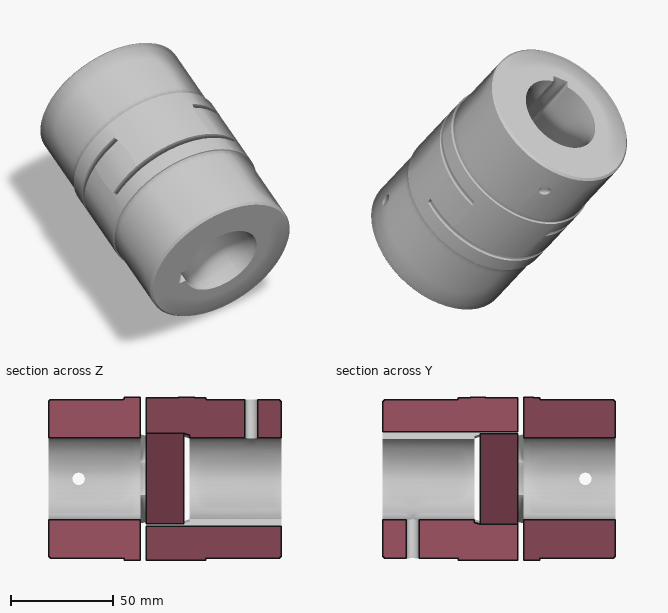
import cadquery as cq

LENGTH = 114.0
COLLAR_D = 80.0
HUB_D = 78.0
COLLAR_HALF = 20.1
HUB_FACE = 12.0
SPIDER_THICK = 18.5
END_CHAMFER = 1.0
BORE_D = 40.0
KEY_WIDTH = 8.0
KEY_TOP = 23.0
SCREW_D = 6.0
SCREW_FROM_END = 14.7
COLLAR_ROOT_FILLET = 0.5
CORE_D = 44.2
JAW_ROOT_D = 42.6
ARM_WIDTH_MID = 20.3
ARM_WIDTH_FACE = 16.6
ARM_COUNT = 4


def x_cylinder(diameter, start, end):
    return cq.Workplane("YZ", origin=(start, 0, 0)).circle(diameter / 2).extrude(end - start)


def jaw_clearance():
    """Space inside the jaws: a cylinder around the spider core, then a cone down to the hub face."""
    half = SPIDER_THICK / 2
    cone = (
        cq.Workplane("YZ", origin=(-HUB_FACE, 0, 0))
        .circle(JAW_ROOT_D / 2)
        .workplane(offset=HUB_FACE - half)
        .circle(CORE_D / 2)
        .loft()
    )
    return cone.union(x_cylinder(CORE_D, -half, half))


def crossed_arms():
    """Four barrel-sided arms, as long as the space between the hub faces."""
    crown = ARM_WIDTH_MID / 2
    edge = ARM_WIDTH_FACE / 2
    profile = (
        cq.Workplane("XY")
        .moveTo(-HUB_FACE, -edge)
        .threePointArc((0, -crown), (HUB_FACE, -edge))
        .lineTo(HUB_FACE, edge)
        .threePointArc((0, crown), (-HUB_FACE, edge))
        .close()
    )
    arm = profile.extrude(COLLAR_D)
    arms = cq.Workplane("XY")
    for i in range(ARM_COUNT):
        angle = (i + 0.5) * 360 / ARM_COUNT
        arms = arms.add(arm.rotate((0, 0, 0), (1, 0, 0), angle))
    return arms.combine()


def jaw_sector(reach):
    """Two opposite quadrants, centred on +Z and -Z, from the hub face to the jaw tip."""
    return (
        cq.Workplane("YZ", origin=(-HUB_FACE, 0, 0))
        .polyline([(0, 0), (COLLAR_D, COLLAR_D), (-COLLAR_D, COLLAR_D)])
        .close()
        .polyline([(0, 0), (COLLAR_D, -COLLAR_D), (-COLLAR_D, -COLLAR_D)])
        .close()
        .extrude(reach)
    )


def make_hub():
    """Left-hand hub: jaws at +Z and -Z, keyway at +Z, set screw hole at -Z."""
    end = -LENGTH / 2
    tip = SPIDER_THICK / 2
    barrel = x_cylinder(HUB_D, end, -HUB_FACE).faces("<X").chamfer(END_CHAMFER)
    collar = x_cylinder(COLLAR_D, -COLLAR_HALF, -HUB_FACE)
    body = barrel.union(collar)
    collar_root = cq.selectors.BoxSelector(
        (-COLLAR_HALF - COLLAR_ROOT_FILLET, -HUB_D, -HUB_D),
        (-COLLAR_HALF + COLLAR_ROOT_FILLET, HUB_D, HUB_D),
    )
    body = body.edges(collar_root).edges(cq.selectors.RadiusNthSelector(0)).fillet(COLLAR_ROOT_FILLET)
    jaws = (
        x_cylinder(COLLAR_D, -HUB_FACE, tip)
        .intersect(jaw_sector(HUB_FACE + tip))
        .cut(crossed_arms())
        .cut(jaw_clearance())
    )
    bore = x_cylinder(BORE_D, end, -HUB_FACE)
    keyway = cq.Workplane("XY").box(tip - end, KEY_WIDTH, KEY_TOP, centered=(False, True, False))
    keyway = keyway.translate((end, 0, 0))
    screw_hole = (
        cq.Workplane("XY", origin=(end + SCREW_FROM_END, 0, 0))
        .circle(SCREW_D / 2)
        .extrude(-HUB_D)
    )
    return body.union(jaws).cut(bore).cut(keyway).cut(screw_hole)


def make_spider():
    """Solid core with four arms that fill the spaces between the jaws."""
    half = SPIDER_THICK / 2
    arms = crossed_arms().intersect(x_cylinder(COLLAR_D, -half, half))
    return x_cylinder(CORE_D, -half, half).union(arms)


hubs = []
for half_turn, quarter_turn in [(0, 0), (180, 90)]:
    hub = make_hub().rotate((0, 0, 0), (0, 0, 1), half_turn)
    hubs.append(hub.rotate((0, 0, 0), (1, 0, 0), quarter_turn))

spider = make_spider()

result = cq.Compound.makeCompound([*[hub.val() for hub in hubs], spider.val()])